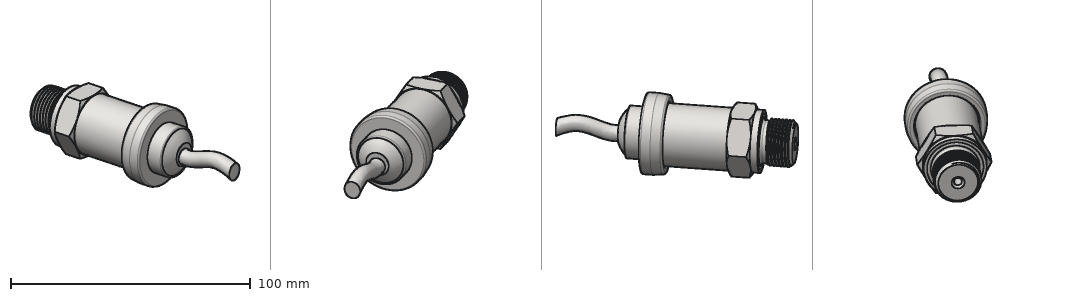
import cadquery as cq
import math


total_length = 100.7

thread_diameter = 19.8
thread_root_diameter = 17.8
thread_pitch = 1.5
ridge_start_x = 0.6
ridge_end_x = 10.9
thread_length = 11.4
thread_crest_width = 0.2
thread_flank_angle = 30.0
root_overlap = 0.2
crest_clearance = 0.5
port_face_diameter = 16.6
relief_diameter = 18.1

bore_diameter = 3.3
bore_depth = 10.1
countersink_diameter = 5.4

body_diameter = 26.5
collar_x = 14.0
relief_fillet = 1.2
bead_outer_diameter = 23.7
bead_height = 0.4

hex_across_flats = 27.0
hex_start_x = 17.0
hex_end_x = 27.0
hex_chamfer_diameter = 27.0
hex_chamfer_angle = 30.0

cap_x = 53.8
cap_diameter = 34.5
cap_front_diameter = 33.2
cap_taper_length = 4.9
cap_flange_length = 9.8
cap_front_fillet = 0.9
cap_rear_fillet = 0.8
recess_diameter = 27.7
recess_depth = 2.0
recess_fillet = 0.4
socket_depth = 5.0
boss_diameter = 22.3
boss_end_x = 70.6
boss_fillet = 0.5
dome_diameter = 20.5
dome_end_x = 74.2
dome_end_diameter = 10.3

cable_diameter = 7.2
cable_centreline = [(73.5, -0.6), (76.6, -1.0), (82.6, 0.3), (91.7, 2.4), (98.7, 0.8), (102.7, -1.2)]


def revolve_about_x(profile):
    """Turn a closed XY profile a full circle about the X axis."""
    return profile.close().revolve(360, (0, 0, 0), (1, 0, 0))


def cylinder_along_x(diameter, start_x, end_x):
    return cq.Workplane("YZ", origin=(start_x, 0, 0)).circle(diameter / 2).extrude(end_x - start_x)


def make_thread():
    """Right-handed helical ridge on a root cylinder, with a chamfered lead-in at the port face."""
    root_radius = thread_root_diameter / 2
    crest_radius = thread_diameter / 2
    foot_radius = root_radius - root_overlap
    half_crest = thread_crest_width / 2
    half_foot = half_crest + (crest_radius - foot_radius) * math.tan(math.radians(thread_flank_angle))

    helix = cq.Wire.makeHelix(thread_pitch, ridge_end_x - ridge_start_x + thread_pitch, foot_radius)
    ridge = (
        cq.Workplane("XZ")
        .polyline([
            (foot_radius, -half_foot),
            (crest_radius, -half_crest),
            (crest_radius, half_crest),
            (foot_radius, half_foot),
        ])
        .close()
        .sweep(cq.Workplane(obj=helix), isFrenet=True)
        .rotate((0, 0, 0), (0, 1, 0), 90)
        .translate((ridge_start_x, 0, 0))
    )

    envelope_radius = crest_radius + crest_clearance
    lead_in = envelope_radius - port_face_diameter / 2
    envelope = revolve_about_x(
        cq.Workplane("XY").polyline([
            (0, 0),
            (0, port_face_diameter / 2),
            (lead_in, envelope_radius),
            (ridge_end_x, envelope_radius),
            (ridge_end_x, relief_diameter / 2),
            (thread_length, relief_diameter / 2),
            (thread_length, 0),
        ])
    )
    core = cylinder_along_x(thread_root_diameter, -thread_pitch, thread_length + 2 * thread_pitch)
    return core.union(ridge).intersect(envelope)


def make_hexagon():
    """Wrench hexagon with flats facing +Z and -Z and its corners chamfered at both ends."""
    corner_diameter = hex_across_flats / math.cos(math.radians(30))
    chamfer_radius = hex_chamfer_diameter / 2
    corner_radius = corner_diameter / 2
    chamfer_length = (corner_radius - chamfer_radius) * math.tan(math.radians(hex_chamfer_angle))
    prism = (
        cq.Workplane("YZ", origin=(hex_start_x, 0, 0))
        .polygon(6, corner_diameter)
        .extrude(hex_end_x - hex_start_x)
    )
    envelope = revolve_about_x(
        cq.Workplane("XY").polyline([
            (hex_start_x, 0),
            (hex_start_x, chamfer_radius),
            (hex_start_x + chamfer_length, corner_radius),
            (hex_end_x - chamfer_length, corner_radius),
            (hex_end_x, chamfer_radius),
            (hex_end_x, 0),
        ])
    )
    return prism.intersect(envelope)


def make_body_cylinder():
    """Thread relief, its fillet, the sealing bead on the collar face, and the long body."""
    relief_radius = relief_diameter / 2
    body_radius = body_diameter / 2
    bead_inner_radius = relief_radius + relief_fillet
    bead_outer_radius = bead_outer_diameter / 2
    bead_middle_radius = (bead_inner_radius + bead_outer_radius) / 2
    fillet_start_x = collar_x - relief_fillet
    fillet_middle = (
        fillet_start_x + relief_fillet * math.sin(math.radians(45)),
        bead_inner_radius - relief_fillet * math.cos(math.radians(45)),
    )
    body_end_x = cap_x + socket_depth
    return revolve_about_x(
        cq.Workplane("XY")
        .moveTo(thread_length, 0)
        .lineTo(thread_length, relief_radius)
        .lineTo(fillet_start_x, relief_radius)
        .threePointArc(fillet_middle, (collar_x, bead_inner_radius))
        .threePointArc((collar_x - bead_height, bead_middle_radius), (collar_x, bead_outer_radius))
        .lineTo(collar_x, body_radius)
        .lineTo(body_end_x, body_radius)
        .lineTo(body_end_x, 0)
    )


def make_pressure_bore():
    """Blind bore with a 90 degree countersink at the port face."""
    countersink_depth = (countersink_diameter - bore_diameter) / 2
    return revolve_about_x(
        cq.Workplane("XY").polyline([
            (0, 0),
            (0, countersink_diameter / 2),
            (countersink_depth, bore_diameter / 2),
            (bore_depth, bore_diameter / 2),
            (bore_depth, 0),
        ])
    )


def make_housing():
    solid = make_body_cylinder().union(make_hexagon()).union(make_thread())
    return solid.cut(make_pressure_bore())


def make_cap_flange():
    """Tapered flange, recessed around the housing at the front and rounded at its edges."""
    flange_end_x = cap_x + cap_flange_length
    flange = revolve_about_x(
        cq.Workplane("XY").polyline([
            (cap_x, 0),
            (cap_x, cap_front_diameter / 2),
            (cap_x + cap_taper_length, cap_diameter / 2),
            (flange_end_x, cap_diameter / 2),
            (flange_end_x, 0),
        ])
    )
    flange = flange.faces("<X").edges().fillet(cap_front_fillet)
    flange = flange.faces(">X").edges().fillet(cap_rear_fillet)
    flange = flange.cut(cylinder_along_x(recess_diameter, cap_x, cap_x + recess_depth))
    rim = cq.selectors.RadiusNthSelector(0)
    return flange.faces("<X").edges(rim).fillet(recess_fillet)


def make_cap_boss():
    """Rear boss with a rounded edge, closed by a spherical dome with a flat end."""
    start_x = cap_x + cap_flange_length
    boss = cylinder_along_x(boss_diameter, start_x, boss_end_x).faces(">X").edges().fillet(boss_fillet)

    base_radius = dome_diameter / 2
    end_radius = dome_end_diameter / 2
    dome_length = dome_end_x - boss_end_x
    centre_offset = (base_radius**2 - end_radius**2 - dome_length**2) / (2 * dome_length)
    sphere_radius = math.hypot(base_radius, centre_offset)
    middle_offset = centre_offset + dome_length / 2
    middle_radius = math.sqrt(sphere_radius**2 - middle_offset**2)
    dome = revolve_about_x(
        cq.Workplane("XY")
        .moveTo(boss_end_x, 0)
        .lineTo(boss_end_x, base_radius)
        .threePointArc((boss_end_x + dome_length / 2, middle_radius), (dome_end_x, end_radius))
        .lineTo(dome_end_x, 0)
    )
    return boss.union(dome)


def make_cap():
    socket = cylinder_along_x(body_diameter, cap_x, cap_x + socket_depth)
    return make_cap_flange().union(make_cap_boss()).cut(socket)


def make_cable():
    """Round cable swept along its curve and cut square to X at the dome and at the free end."""
    path = cq.Workplane("XZ").spline(cable_centreline)
    start_x, start_z = cable_centreline[0]
    swept = (
        cq.Workplane("YZ", origin=(start_x, 0, start_z))
        .circle(cable_diameter / 2)
        .sweep(path)
    )
    trim_range = cylinder_along_x(cap_diameter, dome_end_x, total_length)
    return swept.intersect(trim_range)


housing = make_housing()
cap = make_cap()
cable = make_cable()

result = cq.Compound.makeCompound([housing.val(), cap.val(), cable.val()])